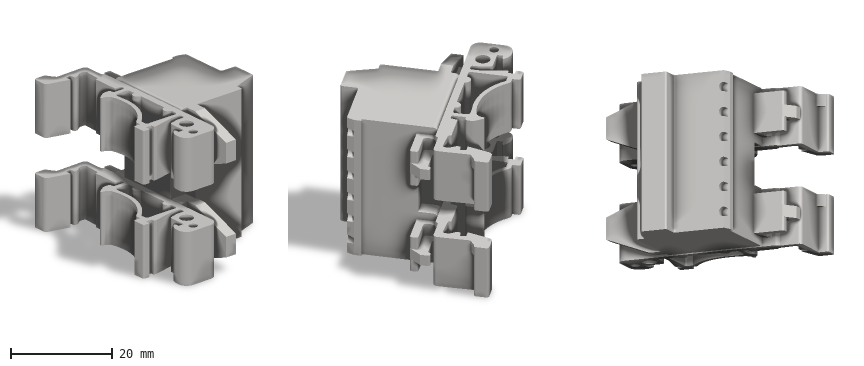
import cadquery as cq
import math

LENGTH = 42.2
DEPTH = 34.55
HEIGHT = 32.0
FOOT_HEIGHT = 11.65
FOOT_BASES = (0.0, HEIGHT - FOOT_HEIGHT)

FOOT_TOP = 12.35
BAR_UNDERSIDE = 10.8
LUG_SIDE = 42.05
LUG_DIAMETER = 4.0
LUG_ROUND = LUG_DIAMETER / 2
PIVOT_HOLE = (36.2, 9.05, 3.0)
PIN_HOLE = (40.0, 7.55, 1.9)
HOOK_FACE = 2.15
HOOK_SHELF = 3.1
GUSSET_TOP = 4.18
GUSSET_TOE = 2.65
GUSSET_HEIGHT = 2.45

ARCH_CENTER = (19.95, -4.85)
ARCH_INNER_RADIUS = 11.4
ARCH_THICKNESS = 0.93
ARCH_START_X = 16.55
ARCH_START_Y = ARCH_CENTER[1] + math.sqrt(ARCH_INNER_RADIUS**2 - (ARCH_START_X - ARCH_CENTER[0]) ** 2)
ARCH_END_Y = 1.8
ARCH_END_X = ARCH_CENTER[0] + math.sqrt(ARCH_INNER_RADIUS**2 - (ARCH_END_Y - ARCH_CENTER[1]) ** 2)
ARCH_BLEND = 0.85
RIB_CENTERS_X = (19.05, 28.35)
RIB_RADIUS = 1.05

BODY_LEFT = 10.05
BODY_RIGHT = 30.17
BODY_SHOULDER = 16.45
LIP_LEFT = 9.45
LIP_BOTTOM = 27.85
LIP_SLOPE_START = 29.3
LIP_TOP = 30.9
BODY_EDGE_ROUND = 1.05
BRIDGE_LEFT = 13.15
BRIDGE_RIGHT = 27.18

OPENING_COUNT = 6
OPENING_PITCH = 5.05
OPENING_DIAMETER = 1.9
OPENING_X = 10.15

ARM_TOP = 16.75
LATCH_HEIGHT = 8.05
CATCH_HEIGHT = 2.45
ARM_END = 3.5
ARM_BOTTOM = 15.05
ARM_ROUND = 0.45
LEG_LEFT = 8.85
LEG_FILLET = 0.75
TONGUE_BOTTOM = 14.22
TAPER_START = 32.75
TONGUE_TIP_HEIGHT = 4.47
TONGUE_PAD_END = 37.75


def rounded_profile(corners, height, base=0.0):
    """Extrude a closed outline along Z; a corner is (x, y) or (x, y, radius)."""
    count = len(corners)
    stretches = []
    for i, corner in enumerate(corners):
        point = cq.Vector(corner[0], corner[1])
        radius = corner[2] if len(corner) > 2 else 0.0
        if radius == 0.0:
            stretches.append((point,))
            continue
        before = corners[i - 1]
        after = corners[(i + 1) % count]
        to_before = (cq.Vector(before[0], before[1]) - point).normalized()
        to_after = (cq.Vector(after[0], after[1]) - point).normalized()
        half_angle = to_before.getAngle(to_after) / 2
        setback = radius / math.tan(half_angle)
        inward = (to_before + to_after).normalized()
        middle = point + inward * (radius / math.sin(half_angle) - radius)
        stretches.append((point + to_before * setback, middle, point + to_after * setback))

    outline = cq.Workplane("XY", origin=(0, 0, base)).moveTo(*stretches[0][-1].toTuple()[:2])
    for stretch in stretches[1:] + stretches[:1]:
        outline = outline.lineTo(*stretch[0].toTuple()[:2])
        if len(stretch) == 3:
            outline = outline.threePointArc(stretch[1].toTuple()[:2], stretch[2].toTuple()[:2])
    return outline.close().extrude(height)


def box(x_min, x_max, y_min, y_max, z_min, z_max):
    """Axis-aligned block between the given limits."""
    size = (x_max - x_min, y_max - y_min, z_max - z_min)
    return cq.Workplane("XY").box(*size, centered=False).translate((x_min, y_min, z_min))


def cylinder(x, y, radius, height):
    """Upright cylinder standing on Z = 0."""
    return cq.Workplane("XY").center(x, y).circle(radius).extrude(height)


def foot_blank():
    """Rail foot with its lug, spring leg and hook, before the openings are cut."""
    corners = [
        (2.0, 11.75, 0.75),
        (6.65, 11.75),
        (7.35, FOOT_TOP),
        (LUG_SIDE, FOOT_TOP, LUG_ROUND),
        (LUG_SIDE, 3.8, LUG_ROUND),
        (38.3, 3.8, 2.55),
        (37.05, 5.05),
        (37.4, 5.3),
        (38.28, 5.3),
        (38.28, 6.6),
        (34.1, 6.6, 0.65),
        (33.5, 8.8),
        (33.5, BAR_UNDERSIDE, 0.4),
        (32.15, BAR_UNDERSIDE, 0.4),
        (32.15, 8.7),
        (33.2, 3.9),
        (33.2, 3.12),
        (32.45, 3.12),
        (32.45, 1.75),
        (33.55, 1.75),
        (33.55, 0.15, 0.42),
        (30.45, 0.15, 0.42),
        (30.45, ARCH_END_Y),
        (ARCH_END_X, ARCH_END_Y),
        (ARCH_START_X, ARCH_START_Y),
        (15.9, 5.25),
        (15.8, 4.25, 0.15),
        (15.3, 4.25, 0.15),
        (14.0, 6.15, 1.7),
        (14.0, 7.9, 0.68),
        (15.1, 7.9),
        (15.1, BAR_UNDERSIDE, 0.4),
        (14.1, BAR_UNDERSIDE, 0.4),
        (13.85, 9.3),
        (8.05, 9.3),
        (7.8, 9.9),
        (3.67, 10.2, 0.5),
        (3.67, 8.8),
        (4.55, 7.45),
        (4.55, 6.65),
        (3.3, 6.55),
        (3.55, 5.3),
        (4.9, 5.3),
        (3.55, 0.0, 0.93),
        (0.0, 0.0, 0.65),
        (0.0, HOOK_SHELF, 0.5),
        (HOOK_FACE, HOOK_SHELF),
        (2.0, 9.3),
    ]
    return rounded_profile(corners, FOOT_HEIGHT)


def spring_window():
    """Opening between the bar and the arched spring, with two half-round ribs left in it."""
    corners = [
        (16.15, BAR_UNDERSIDE, 0.42),
        (31.23, BAR_UNDERSIDE, 0.42),
        (31.23, 2.85, 0.42),
        (29.1, 2.85),
        (19.0, 7.35),
        (16.15, 7.35, 0.7),
    ]
    window = rounded_profile(corners, FOOT_HEIGHT)
    window = window.cut(cylinder(*ARCH_CENTER, ARCH_INNER_RADIUS + ARCH_THICKNESS, FOOT_HEIGHT))
    for x in RIB_CENTERS_X:
        window = window.cut(cylinder(x, BAR_UNDERSIDE, RIB_RADIUS, FOOT_HEIGHT))
    return window


def arch_hollow():
    """Round hollow under the spring."""
    disc = cylinder(*ARCH_CENTER, ARCH_INNER_RADIUS, FOOT_HEIGHT)
    return disc.intersect(box(ARCH_START_X, ARCH_END_X, 0, FOOT_TOP, 0, FOOT_HEIGHT))


def foot():
    """Complete rail foot standing on Z = 0."""
    part = foot_blank().cut(spring_window()).cut(arch_hollow())
    for x, y in ((ARCH_START_X, ARCH_START_Y), (ARCH_END_X, ARCH_END_Y)):
        corner = cq.selectors.NearestToPointSelector((x, y, FOOT_HEIGHT / 2))
        part = part.edges("|Z").edges(corner).fillet(ARCH_BLEND)
    for x, y, diameter in (PIVOT_HOLE, PIN_HOLE):
        part = part.cut(cylinder(x, y, diameter / 2, FOOT_HEIGHT))
    gusset_corners = [(HOOK_FACE, GUSSET_TOP), (0.0, GUSSET_TOE), (HOOK_FACE, GUSSET_TOE)]
    gusset = rounded_profile(gusset_corners, GUSSET_HEIGHT, FOOT_HEIGHT - GUSSET_HEIGHT)
    return part.union(gusset)


def latch():
    """L-shaped arm on the left of the body, with a catch at its middle height."""
    arm_corners = [
        (ARM_END, ARM_TOP, ARM_ROUND),
        (BODY_LEFT, ARM_TOP),
        (BODY_LEFT, FOOT_TOP),
        (LEG_LEFT - LEG_FILLET, FOOT_TOP),
        (LEG_LEFT, FOOT_TOP + LEG_FILLET),
        (LEG_LEFT, ARM_BOTTOM, LEG_FILLET),
        (ARM_END, ARM_BOTTOM, ARM_ROUND),
    ]
    catch_corners = [
        (3.7, ARM_TOP, 0.2),
        (BODY_LEFT, ARM_TOP),
        (BODY_LEFT, FOOT_TOP),
        (7.35, FOOT_TOP),
        (7.35, 12.95, 0.35),
        (3.1, 12.95),
        (2.83, 12.32, 0.25),
        (1.8, 12.32, 0.42),
        (1.8, 14.25),
    ]
    arm = rounded_profile(arm_corners, LATCH_HEIGHT, (FOOT_HEIGHT - LATCH_HEIGHT) / 2)
    catch = rounded_profile(catch_corners, CATCH_HEIGHT, (FOOT_HEIGHT - CATCH_HEIGHT) / 2)
    return arm.union(catch)


def tongue():
    """Tapered tongue on the right of the body, with a pad joining it to the foot."""
    middle = FOOT_HEIGHT / 2
    half_tip = TONGUE_TIP_HEIGHT / 2
    side = [
        (BODY_RIGHT, 0.0),
        (TAPER_START, 0.0),
        (LENGTH, middle - half_tip),
        (LENGTH, middle + half_tip),
        (TAPER_START, FOOT_HEIGHT),
        (BODY_RIGHT, FOOT_HEIGHT),
    ]
    plane = cq.Workplane("XZ", origin=(0, ARM_TOP, 0))
    blade = plane.polyline(side).close().extrude(ARM_TOP - TONGUE_BOTTOM)
    pad_limits = (BODY_RIGHT, TONGUE_PAD_END, FOOT_TOP, TONGUE_BOTTOM)
    return blade.union(box(*pad_limits, middle - half_tip, middle + half_tip))


def body_base():
    """Part of the body just above one foot, rounded along its long lower edges."""
    base = box(BODY_LEFT, BODY_RIGHT, FOOT_TOP, BODY_SHOULDER, 0, FOOT_HEIGHT)
    return base.edges("|X and <Y").fillet(BODY_EDGE_ROUND)


def body():
    """Terminal block over the full height, bridged between the two feet."""
    corners = [
        (BODY_LEFT, BODY_SHOULDER),
        (BODY_LEFT, LIP_BOTTOM),
        (LIP_LEFT, LIP_BOTTOM),
        (LIP_LEFT, LIP_SLOPE_START),
        (BODY_LEFT, LIP_TOP),
        (20.9, LIP_TOP, 0.42),
        (20.9, DEPTH, 0.42),
        (26.35, DEPTH, 0.3),
        (28.55, 28.53),
        (BODY_RIGHT, 28.53, 0.42),
        (BODY_RIGHT, BODY_SHOULDER),
    ]
    part = rounded_profile(corners, HEIGHT)
    bridge_z = (FOOT_HEIGHT - BODY_EDGE_ROUND, HEIGHT - FOOT_HEIGHT + BODY_EDGE_ROUND)
    return part.union(box(BRIDGE_LEFT, BRIDGE_RIGHT, FOOT_TOP, BODY_SHOULDER, *bridge_z))


def wire_openings():
    """Row of round blind holes that enter the lip from above and break through its slope."""
    first_z = HEIGHT / 2 - (OPENING_COUNT - 1) / 2 * OPENING_PITCH
    centers = [(first_z + i * OPENING_PITCH, OPENING_X) for i in range(OPENING_COUNT)]
    plane = cq.Workplane("ZX", origin=(0, LIP_SLOPE_START, 0))
    return plane.pushPoints(centers).circle(OPENING_DIAMETER / 2).extrude(LIP_TOP - LIP_SLOPE_START)


module = foot().union(body_base()).union(latch()).union(tongue())

result = body().cut(wire_openings())
for base_z in FOOT_BASES:
    result = result.union(module.translate((0, 0, base_z)))